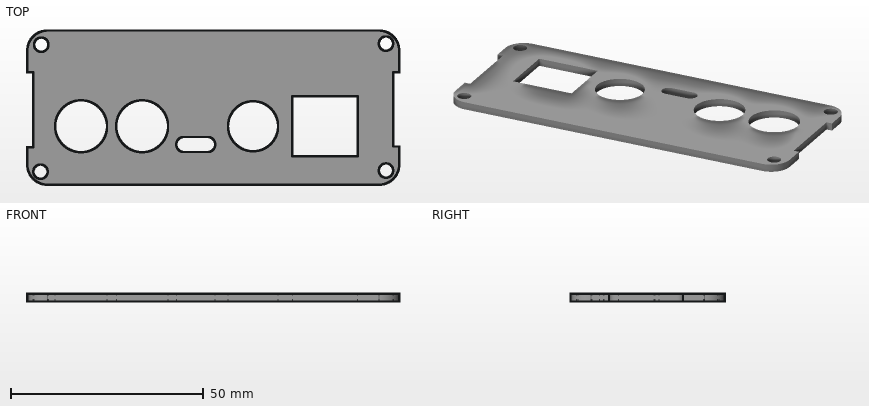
import cadquery as cq

length = 96.9
width = 40.2
thickness = 2.0
corner_radius = 5.3

notch_depth = 1.55
notch_top = 9.2
left_notch_bottom = -10.3
right_notch_bottom = -10.1

screw_diameter = 3.7
screw_centers = [
    (-44.8, 16.4),
    (45.0, 16.7),
    (-45.0, -16.7),
    (45.0, -16.4),
]

row_y = -4.8
large_diameter = 13.5
large_hole_xs = [-34.4, -18.5]
small_diameter = 13.0
small_hole_x = 10.4
window_length = 17.0
window_height = 15.5
window_x = 29.1
slot_length = 10.1
slot_height = 3.9
slot_center = (-4.6, -9.6)


def make_plate():
    plate = cq.Workplane("XY").box(length, width, thickness)
    return plate.edges("|Z").fillet(corner_radius)


def make_notch(side, bottom):
    """Cutter straddling a short edge; side is -1 for left, +1 for right."""
    notch_center_y = (notch_top + bottom) / 2
    return (
        cq.Workplane("XY")
        .center(side * length / 2, notch_center_y)
        .box(2 * notch_depth, notch_top - bottom, thickness)
    )


def cut_round_holes(body, centers, diameter):
    return body.faces(">Z").workplane(origin=(0, 0, 0)).pushPoints(centers).hole(diameter)


def cut_window(body):
    return body.cut(
        cq.Workplane("XY").center(window_x, row_y).box(window_length, window_height, thickness)
    )


def cut_slot(body):
    top = body.faces(">Z").workplane(origin=(0, 0, 0))
    return top.center(*slot_center).slot2D(slot_length, slot_height).cutThruAll()


result = make_plate()
result = result.cut(make_notch(-1, left_notch_bottom))
result = result.cut(make_notch(1, right_notch_bottom))
result = cut_round_holes(result, screw_centers, screw_diameter)
result = cut_round_holes(result, [(x, row_y) for x in large_hole_xs], large_diameter)
result = cut_round_holes(result, [(small_hole_x, row_y)], small_diameter)
result = cut_window(result)
result = cut_slot(result)